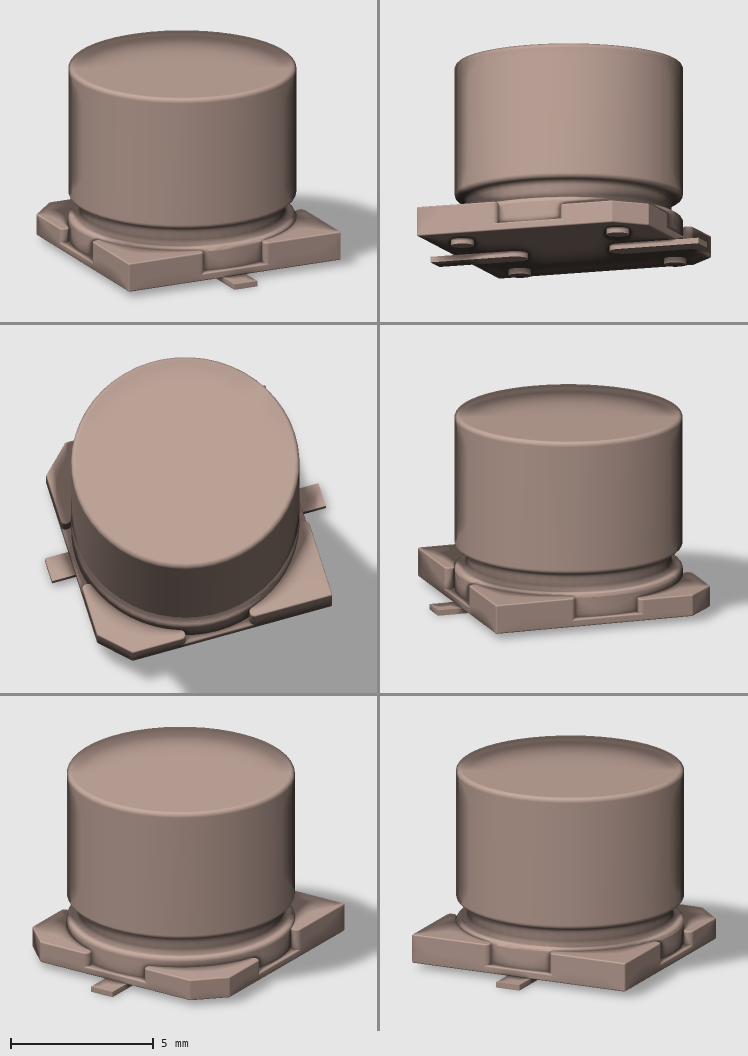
import cadquery as cq
import math

total_height = 6.8
lead_thickness = 0.2
ledge_height = 0.47
low_pad_height = 0.98
high_pad_height = 1.24

base_width = 8.3
corner_chamfer = 1.0
edge_radius = 0.05
gap_width = 2.36
pad_tip_radius = 0.17

can_radius = 4.0
can_bend_radius = 0.16
neck_radius = 3.6
groove_bottom = 1.33
groove_top = 2.0

lead_span = 10.0
lead_width = 0.9
lead_inner_end = 1.55
foot_diameter = 0.8
foot_offset = 2.9


def base_block(bottom, top):
    """Square block with both -X corners chamfered and slightly rounded upright edges."""
    return (
        cq.Workplane("XY", origin=(0, 0, bottom))
        .rect(base_width, base_width)
        .extrude(top - bottom)
        .edges("|Z and <X")
        .chamfer(corner_chamfer)
        .edges("|Z")
        .fillet(edge_radius)
    )


def make_plate():
    """Thin plate under the can, rounded along its upper and lower rims."""
    return base_block(lead_thickness, ledge_height).faces("|Z").edges().fillet(edge_radius)


def is_tip_edge(edge):
    """True for an upright edge in the wall of a gap between two pads."""
    center = edge.Center()
    return math.isclose(min(abs(center.x), abs(center.y)), gap_width / 2, abs_tol=0.001)


def make_pads(side, height):
    """Two corner pads hugging the can, on the +X (side = 1) or -X (side = -1) half."""
    bottom = lead_thickness + edge_radius
    level = cq.Workplane("XY", origin=(0, 0, bottom))
    seat = level.circle(can_radius).extrude(height)
    half_away = level.center(-side * base_width / 2, 0).rect(base_width, base_width).extrude(height)
    gap_along_x = level.rect(base_width, gap_width).extrude(height)
    gap_along_y = level.rect(gap_width, base_width).extrude(height)

    pads = base_block(bottom, height).cut(half_away).cut(seat).cut(gap_along_x).cut(gap_along_y)
    pads = pads.edges("|Z").filter(is_tip_edge).fillet(pad_tip_radius)
    return pads.faces(">Z").edges().fillet(edge_radius)


def make_can():
    """Turned can with rounded edges and a rolled groove just above the base."""
    bend = can_bend_radius
    inset = bend * (1 - math.sqrt(0.5))
    profile = (
        cq.Workplane("XZ")
        .moveTo(0, ledge_height - edge_radius)
        .lineTo(can_radius, ledge_height - edge_radius)
        .lineTo(can_radius, groove_bottom - bend)
        .threePointArc((can_radius - inset, groove_bottom - inset), (can_radius - bend, groove_bottom))
        .lineTo(neck_radius + bend, groove_bottom)
        .threePointArc((neck_radius + inset, groove_bottom + inset), (neck_radius, groove_bottom + bend))
        .lineTo(neck_radius, groove_top - bend)
        .threePointArc((neck_radius + inset, groove_top - inset), (neck_radius + bend, groove_top))
        .lineTo(can_radius - bend, groove_top)
        .threePointArc((can_radius - inset, groove_top + inset), (can_radius, groove_top + bend))
        .lineTo(can_radius, total_height - bend)
        .threePointArc((can_radius - inset, total_height - inset), (can_radius - bend, total_height))
        .lineTo(0, total_height)
        .close()
    )
    return profile.revolve(360, (0, 0, 0), (0, 1, 0))


def make_lead(side):
    """Flat lead pointing to +X (side = 1) or -X (side = -1) with a rounded inner end."""
    half_width = lead_width / 2
    outer_x = side * lead_span / 2
    tip_x = side * lead_inner_end
    arc_x = tip_x + side * half_width
    return (
        cq.Workplane("XY")
        .moveTo(outer_x, -half_width)
        .lineTo(arc_x, -half_width)
        .threePointArc((tip_x, 0), (arc_x, half_width))
        .lineTo(outer_x, half_width)
        .close()
        .extrude(lead_thickness)
    )


def make_feet():
    """Four round feet under the corners of the plate."""
    return (
        cq.Workplane("XY")
        .rect(2 * foot_offset, 2 * foot_offset, forConstruction=True)
        .vertices()
        .circle(foot_diameter / 2)
        .extrude(lead_thickness)
    )


result = make_plate().union(make_can()).union(make_feet())
for side, pad_height in ((-1, low_pad_height), (1, high_pad_height)):
    result = result.union(make_pads(side, pad_height)).union(make_lead(side))